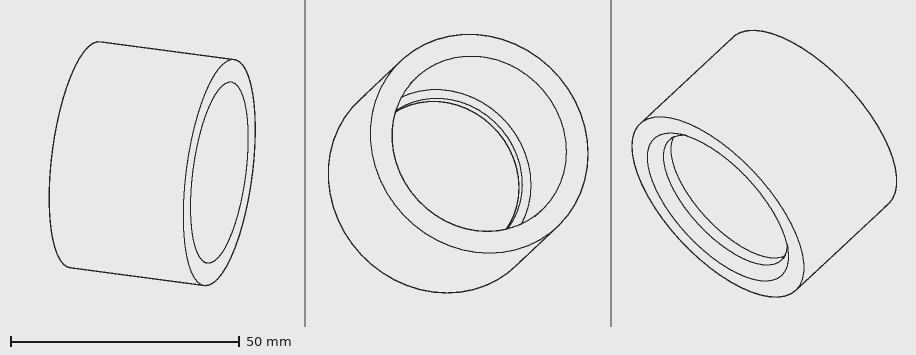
import cadquery as cq

length = 31.0
outer_diameter = 50.0
land_diameter = 36.0
bore_diameter = 40.0

mouth_diameter = 41.0
bevel_depth = (mouth_diameter - land_diameter) / 2
land_width = 2.5

outer_radius = outer_diameter / 2
mouth_radius = mouth_diameter / 2
land_radius = land_diameter / 2
bore_radius = bore_diameter / 2

end_x = length / 2
bevel_x = -end_x + bevel_depth
step_x = bevel_x + land_width

section = (
    cq.Workplane("XY")
    .moveTo(-end_x, outer_radius)
    .lineTo(end_x, outer_radius)
    .lineTo(end_x, bore_radius)
    .lineTo(step_x, bore_radius)
    .lineTo(step_x, land_radius)
    .lineTo(bevel_x, land_radius)
    .lineTo(-end_x, mouth_radius)
    .close()
)

result = section.revolve(360, (0, 0, 0), (1, 0, 0))